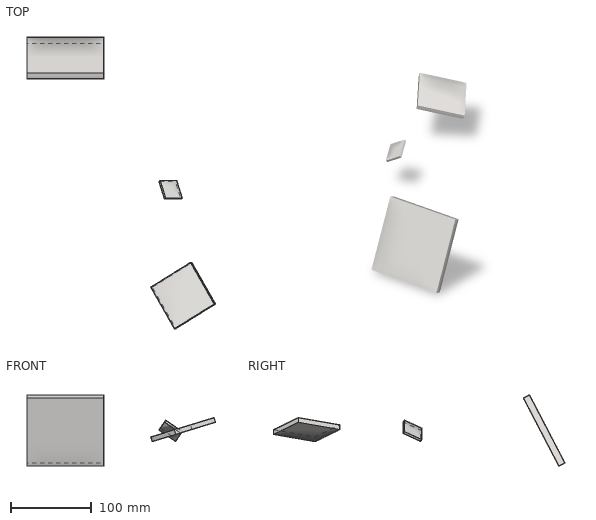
import cadquery as cq

LARGE_SIDE = 95.5
LARGE_THICKNESS = 8.5
LARGE_CENTER = (0, 0, 0)
LARGE_PITCH = -62.5

MEDIUM_SIDE = 60.0
MEDIUM_THICKNESS = 6.0
MEDIUM_CENTER = (146.0, -294.3, 1.0)
MEDIUM_SPIN = 30.8
MEDIUM_ROLL = -17

SMALL_SIDE = 25.0
SMALL_THICKNESS = 3.2
SMALL_CENTER = (130.5, -163.2, -0.5)
SMALL_PITCH = -29
SMALL_ROLL = 34.5

ORIGIN = (0, 0, 0)
X_AXIS = (1, 0, 0)
Y_AXIS = (0, 1, 0)
Z_AXIS = (0, 0, 1)


def square_plate(side, thickness, center, spin=0, pitch=0, roll=0):
    """Square plate turned about Z (spin), X (pitch), then Y (roll), and moved to its center."""
    plate = cq.Workplane("XY").box(side, side, thickness)
    plate = plate.rotate(ORIGIN, Z_AXIS, spin)
    plate = plate.rotate(ORIGIN, X_AXIS, pitch)
    plate = plate.rotate(ORIGIN, Y_AXIS, roll)
    return plate.translate(center)


large_plate = square_plate(LARGE_SIDE, LARGE_THICKNESS, LARGE_CENTER, pitch=LARGE_PITCH)

medium_plate = square_plate(MEDIUM_SIDE, MEDIUM_THICKNESS, MEDIUM_CENTER, spin=MEDIUM_SPIN, roll=MEDIUM_ROLL)

small_plate = square_plate(SMALL_SIDE, SMALL_THICKNESS, SMALL_CENTER, pitch=SMALL_PITCH, roll=SMALL_ROLL)

result = cq.Compound.makeCompound([large_plate.val(), medium_plate.val(), small_plate.val()])